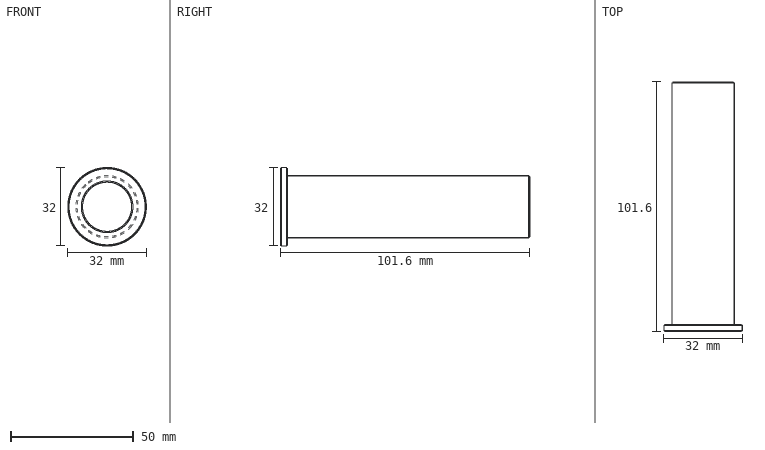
import cadquery as cq

total_length = 101.6
flange_diameter = 32.0
flange_thickness = 2.9
shank_diameter = 25.4
edge_chamfer = 0.5
recess_diameter = 21.0
recess_depth = 0.5
recess_wall_taper = 45


def cylinder(diameter, start, end):
    """Cylinder along the Y axis between two Y positions."""
    base = cq.Workplane("XZ", origin=(0, start, 0))
    return base.circle(diameter / 2).extrude(start - end)


flange = cylinder(flange_diameter, 0, flange_thickness).edges().chamfer(edge_chamfer)

shank = cylinder(shank_diameter, flange_thickness / 2, total_length)
shank = shank.edges(">Y").chamfer(edge_chamfer)

recess = cq.Workplane("XZ").circle(recess_diameter / 2).extrude(-recess_depth, taper=recess_wall_taper)

result = flange.union(shank).cut(recess)